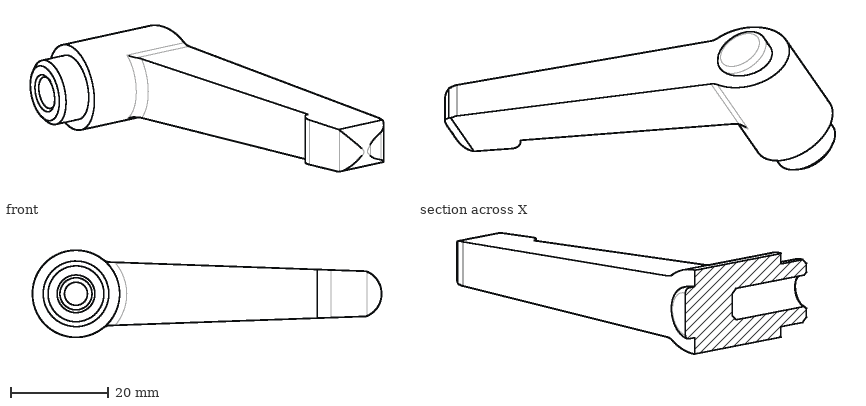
import cadquery as cq
import math

hub_radius = 9.0
hub_bottom = 6.5
hub_top_at_left = 26.1
top_slope = math.tan(math.radians(15.6))

lower_pin_diameter = 13.5
lower_pin_chamfer = 1.0
upper_pin_diameter = 11.0
upper_pin_top = 31.0
upper_pin_round = 1.0

bore_diameter = 6.6
bore_depth = 18.0
mouth_diameter = 7.8
tip_diameter = 4.75

overall_length = 72.0
overall_height = 45.0
arm_end = overall_length - hub_radius
arm_start = 2.9
arm_half_width_at_hub = 6.55
arm_half_width_at_end = 4.7
taper_start = 7.05
round_start = 59.75
root_fillet = 2.15
edge_slope = math.tan(math.radians(19.3))
step_x = 49.7
step_y = 33.05

top_corner_x = 58.3
top_corner_mid = (60.7, 44.8)
top_corner_end = (62.0, 43.3)
lower_corner_start = (62.85, 40.2)
lower_corner_mid = (62.4, 36.65)
lower_corner_end = (59.9, 34.5)
step_nose_start = (52.5, 31.8)
step_nose_mid = (50.8, 31.8)

root_bow = 0.9
step_bow = 0.1
side_margin = 0.2


def top_height(x):
    """Height of the sloped top plane shared by hub and arm."""
    return hub_top_at_left + (x + hub_radius) * top_slope


def cylinder_along_y(diameter, bottom, top):
    return cq.Workplane("XZ", origin=(0, bottom, 0)).circle(diameter / 2).extrude(bottom - top)


def make_hub():
    side = (
        cq.Workplane("XY")
        .moveTo(-hub_radius, hub_bottom)
        .lineTo(hub_radius, hub_bottom)
        .lineTo(hub_radius, top_height(hub_radius))
        .lineTo(-hub_radius, hub_top_at_left)
        .close()
        .extrude(hub_radius, both=True)
    )
    barrel = cylinder_along_y(2 * hub_radius, hub_bottom, overall_height)
    barrel = barrel.rotate((0, 0, 0), (0, 1, 0), 180)
    return barrel.intersect(side)


def bowed_section(x, edge_y, half_width, bow):
    """Section at x of the space below the arm, closed above by an arc that sags by bow."""
    cutter_bottom = -hub_radius
    return (
        cq.Workplane("YZ", origin=(x, 0, 0))
        .moveTo(cutter_bottom, -half_width)
        .lineTo(edge_y, -half_width)
        .threePointArc((edge_y - bow, 0), (edge_y, half_width))
        .lineTo(cutter_bottom, half_width)
        .close()
        .val()
    )


def make_arm():
    profile = (
        cq.Workplane("XY")
        .moveTo(arm_start, top_height(arm_start))
        .lineTo(top_corner_x, top_height(top_corner_x))
        .threePointArc(top_corner_mid, top_corner_end)
        .lineTo(*lower_corner_start)
        .threePointArc(lower_corner_mid, lower_corner_end)
        .lineTo(*step_nose_start)
        .threePointArc(step_nose_mid, (step_x, step_y))
        .lineTo(step_x, 0)
        .lineTo(arm_start, 0)
        .close()
        .extrude(hub_radius, both=True)
    )
    taper = (arm_half_width_at_hub - arm_half_width_at_end) / (round_start - taper_start)
    start_half_width = arm_half_width_at_hub + (taper_start - arm_start) * taper
    plan = (
        cq.Workplane("XZ")
        .moveTo(arm_start, -start_half_width)
        .lineTo(round_start, -arm_half_width_at_end)
        .threePointArc((arm_end, 0), (round_start, arm_half_width_at_end))
        .lineTo(arm_start, start_half_width)
        .close()
        .extrude(-overall_height)
    )
    step_half_width = arm_half_width_at_end + (round_start - step_x) * taper
    root_edge_y = step_y + step_bow - (step_x - arm_start) * edge_slope
    root = bowed_section(arm_start, root_edge_y, start_half_width + side_margin, root_bow)
    step = bowed_section(step_x, step_y + step_bow, step_half_width + side_margin, step_bow)
    space_below = cq.Workplane(cq.Solid.makeLoft([root, step], True))
    return profile.intersect(plan).cut(space_below)


def make_lever():
    """Hub and arm joined, with a fillet along the sides and underside of the arm root."""
    lever = make_hub().union(make_arm()).clean()
    root_reach = hub_radius + 0.1
    root_edges = cq.selectors.BoxSelector(
        (arm_start, hub_bottom + 0.7, -root_reach),
        (root_reach, top_height(hub_radius), root_reach),
        boundingbox=True,
    )
    return lever.edges(root_edges).fillet(root_fillet)


def make_insert():
    lower = cylinder_along_y(lower_pin_diameter, 0, hub_bottom + 0.7)
    lower = lower.faces("<Y").chamfer(lower_pin_chamfer)
    upper = cylinder_along_y(upper_pin_diameter, hub_bottom, upper_pin_top)
    upper = upper.faces(">Y").edges().fillet(upper_pin_round)
    return lower.union(upper)


def make_bore():
    mouth_depth = (mouth_diameter - bore_diameter) / 2
    tip_depth = (bore_diameter - tip_diameter) / 2
    return (
        cq.Workplane("XY")
        .lineTo(mouth_diameter / 2, 0)
        .lineTo(bore_diameter / 2, mouth_depth)
        .lineTo(bore_diameter / 2, bore_depth)
        .lineTo(tip_diameter / 2, bore_depth + tip_depth)
        .lineTo(0, bore_depth + tip_depth)
        .close()
        .revolve(360, (0, 0, 0), (0, 1, 0))
    )


result = make_lever().union(make_insert()).cut(make_bore())